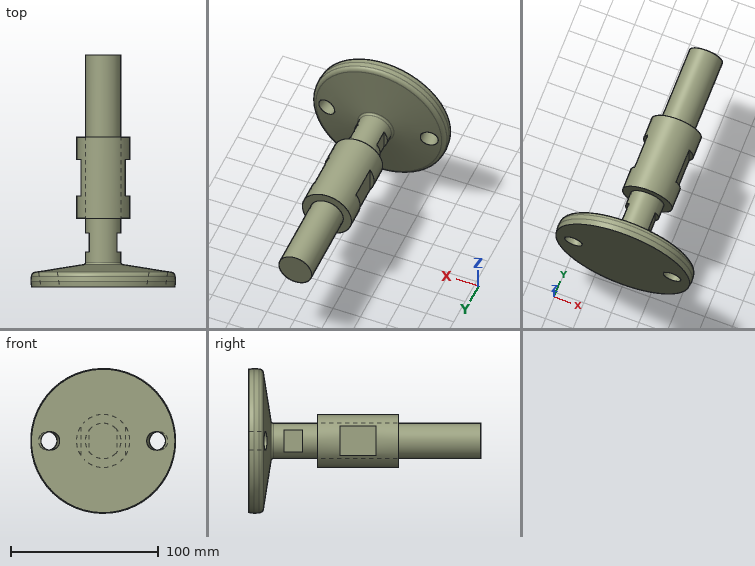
import cadquery as cq
import math

base_radius = 49.0
widest_height = 3.8
lower_taper = 8.0
upper_taper = 5.0
rim_top = 7.2
rim_round = 3.2
cone_angle = 9.0
stem_radius = 12.0
stem_fillet = 1.5
overall_length = 157.0

stem_flat_start = 23.8
stem_flat_length = 12.7
stem_across_flats = 19.0

hole_diameter = 12.5
hole_offset = 35.7

sleeve_radius = 18.0
sleeve_start = 46.4
sleeve_length = 55.0
sleeve_flat_length = 24.5
sleeve_across_flats = 30.0


def flat_cutters(radius, across_flats, start, length):
    """Two blocks that leave a pair of flats facing -X and +X."""
    depth = radius - across_flats / 2
    cutters = cq.Workplane("XY")
    for side in (-1, 1):
        block = cq.Workplane("XY").box(2 * depth, length, 2 * radius)
        x = side * (across_flats / 2 + depth)
        cutters = cutters.add(block.translate((x, start + length / 2, 0)))
    return cutters.combine()


def foot_blank():
    """Base plate, cone, fillet and stem turned in one profile; x is the radius, y the height."""
    angle = math.radians(cone_angle)
    taper = math.radians(upper_taper)
    sine = math.sin(angle)
    cosine = math.cos(angle)

    bottom_radius = base_radius - widest_height * math.tan(math.radians(lower_taper))
    rim_top_radius = base_radius - (rim_top - widest_height) * math.tan(taper)
    round_x = rim_top_radius - rim_round * math.cos(taper)
    round_y = rim_top - rim_round * math.sin(taper)
    rim_end = (round_x + rim_round * sine, round_y + rim_round * cosine)
    middle_direction = (taper + math.pi / 2 - angle) / 2
    rim_middle = (
        round_x + rim_round * math.cos(middle_direction),
        round_y + rim_round * math.sin(middle_direction),
    )

    neck_centre = stem_radius + stem_fillet
    neck_start_radius = neck_centre - stem_fillet * sine
    neck_start_height = rim_end[1] + (rim_end[0] - neck_start_radius) * math.tan(angle)
    neck_top = neck_start_height + stem_fillet * cosine
    half_neck = (math.pi / 2 - angle) / 2
    neck_middle = (
        neck_centre - stem_fillet * math.cos(half_neck),
        neck_top - stem_fillet * math.sin(half_neck),
    )

    return (
        cq.Workplane("XY")
        .moveTo(0, 0)
        .lineTo(bottom_radius, 0)
        .lineTo(base_radius, widest_height)
        .lineTo(rim_top_radius, rim_top)
        .threePointArc(rim_middle, rim_end)
        .lineTo(neck_start_radius, neck_start_height)
        .threePointArc(neck_middle, (stem_radius, neck_top))
        .lineTo(stem_radius, overall_length)
        .lineTo(0, overall_length)
        .close()
        .revolve(360, (0, 0, 0), (0, 1, 0))
    )


def mounting_hole(side):
    """Cylinder through the plate, leaning outward so that it stands square to the cone."""
    angle = math.radians(cone_angle)
    direction = cq.Vector(side * math.sin(angle), math.cos(angle), 0)
    centre = cq.Vector(side * hole_offset, 0, 0)
    reach = 2 * (rim_top + rim_round)
    start = centre - direction * reach
    return cq.Workplane(cq.Solid.makeCylinder(hole_diameter / 2, 2 * reach, start, direction))


def make_foot():
    """Foot with a pair of wrench flats on its stem and two mounting holes in its plate."""
    foot = foot_blank()
    foot = foot.cut(flat_cutters(stem_radius, stem_across_flats, stem_flat_start, stem_flat_length))
    for side in (-1, 1):
        foot = foot.cut(mounting_hole(side))
    return foot


def make_sleeve():
    """Sleeve bored to fit the stem, with a pair of wrench flats at mid length."""
    sleeve = (
        cq.Workplane("XZ", origin=(0, sleeve_start, 0))
        .circle(sleeve_radius)
        .circle(stem_radius)
        .extrude(-sleeve_length)
    )
    flat_start = sleeve_start + (sleeve_length - sleeve_flat_length) / 2
    return sleeve.cut(flat_cutters(sleeve_radius, sleeve_across_flats, flat_start, sleeve_flat_length))


foot = make_foot()
sleeve = make_sleeve()

result = cq.Compound.makeCompound([foot.val(), sleeve.val()])